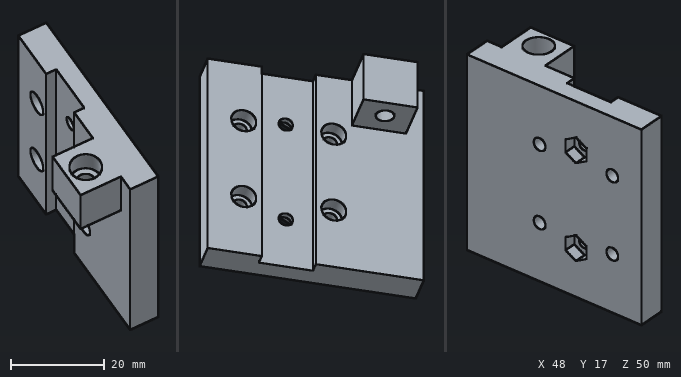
import math

import cadquery as cq

plate_width = 48.0
plate_thickness = 7.0
plate_height = 50.0

channel_width = 12.0
channel_depth = 2.5
channel_left = 12.0
channel_center_x = channel_left + channel_width / 2

lug_width = 12.0
lug_height = 12.0
lug_projection = 10.0
lug_left = 32.0

lug_bore_diameter = 4.0
lug_counterbore_diameter = 7.0
lug_counterbore_depth = 5.0
lug_bore_x = lug_left + lug_width / 2
lug_bore_y = -5.25

hole_pattern_center_z = plate_height / 2
screw_spacing = 20.0
screw_diameter = 3.2
screw_head_diameter = 5.5
screw_head_depth = 3.5

channel_hole_diameter = 3.1
channel_hole_spacing = 25.0
nut_across_flats = 5.7
nut_across_corners = nut_across_flats / math.cos(math.pi / 6)
nut_pocket_depth = 3.0
nut_corner_up_angle = 30.0


def cylinder_into_plate(x, z, diameter, depth):
    """Cylinder that starts on the front face and runs back into the plate."""
    return (
        cq.Workplane("XZ", origin=(x, 0, z))
        .circle(diameter / 2)
        .extrude(-depth)
    )


def nut_pocket(x, z):
    """Hexagonal prism, one corner up, that starts on the back face and runs forward."""
    return (
        cq.Workplane("XZ", origin=(x, plate_thickness, z))
        .transformed(rotate=(0, 0, nut_corner_up_angle))
        .polygon(6, nut_across_corners)
        .extrude(nut_pocket_depth)
    )


def cylinder_down_lug(diameter, depth):
    """Vertical cylinder on the lug bore axis that starts on the top face."""
    return (
        cq.Workplane("XY", origin=(lug_bore_x, lug_bore_y, plate_height))
        .circle(diameter / 2)
        .extrude(-depth)
    )


def make_body():
    """Plate with its channel and the lug."""
    plate = cq.Workplane("XY").box(plate_width, plate_thickness, plate_height, centered=False)
    channel = (
        cq.Workplane("XY", origin=(channel_left, 0, 0))
        .box(channel_width, channel_depth, plate_height, centered=False)
    )
    lug = (
        cq.Workplane("XY", origin=(lug_left, -lug_projection, plate_height - lug_height))
        .box(lug_width, lug_projection, lug_height, centered=False)
    )
    return plate.cut(channel).union(lug)


def cut_screw_holes(body):
    """Four counterbored holes, heads sunk into the front face."""
    for side_x in (-1, 1):
        for side_z in (-1, 1):
            x = channel_center_x + side_x * screw_spacing / 2
            z = hole_pattern_center_z + side_z * screw_spacing / 2
            body = body.cut(cylinder_into_plate(x, z, screw_diameter, plate_thickness))
            body = body.cut(cylinder_into_plate(x, z, screw_head_diameter, screw_head_depth))
    return body


def cut_channel_holes(body):
    """Two through holes on the centerline of the channel, each with a nut pocket behind."""
    for side_z in (-1, 1):
        x = channel_center_x
        z = hole_pattern_center_z + side_z * channel_hole_spacing / 2
        body = body.cut(cylinder_into_plate(x, z, channel_hole_diameter, plate_thickness))
        body = body.cut(nut_pocket(x, z))
    return body


def cut_lug_bore(body):
    """Vertical through hole in the lug, counterbored from the top."""
    body = body.cut(cylinder_down_lug(lug_bore_diameter, lug_height))
    return body.cut(cylinder_down_lug(lug_counterbore_diameter, lug_counterbore_depth))


body = make_body()
body = cut_screw_holes(body)
body = cut_channel_holes(body)
result = cut_lug_bore(body)